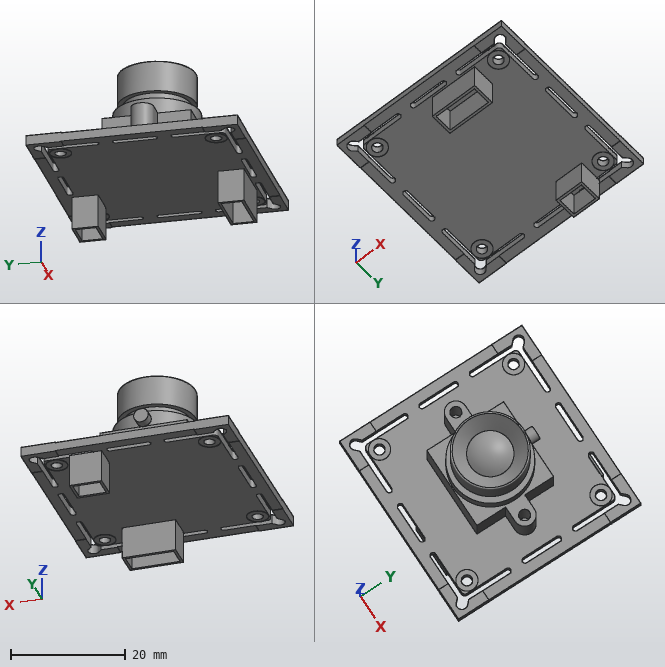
import cadquery as cq
import math

BOARD_SIDE = 38.0
BOARD_THICKNESS = 1.6

PAD_THICKNESS = 0.1
CORNER_PAD_SIDE = 6.3
PAD_RADIUS = 1.95
MOUNT_HOLE_RADIUS = 1.0
MOUNT_OFFSET = 14.0

SLOT_OFFSET = 16.5
SLOT_WIDTH = 1.05
MIDDLE_SLOT_LENGTH = 8.0
CORNER_SLOT_END = 6.5
CORNER_FILLET = 0.8
RELIEF_OFFSET = 17.02
RELIEF_WIDTH = 2.0

BLOCK_SIDE = 16.0
BLOCK_TOP = 7.0
EAR_OFFSET = 11.0
EAR_RADIUS = 2.0
EAR_HOLE_RADIUS = 1.03

COLLAR_RADIUS = 7.8
COLLAR_TOP = 10.07
NECK_RADIUS = 6.05
NECK_TOP = 11.8
HEAD_RADIUS = 7.0
HEAD_TOP = 17.5
HEAD_FILLET = 0.2

MOUTH_RADIUS = 6.65
LENS_RADIUS = 4.15
MOUTH_DEPTH = 2.6
LENS_HEIGHT = 1.6

PIN_RADIUS = 1.33
PIN_HEIGHT = 8.45
PIN_END = 9.5

CONNECTOR_BOTTOM = -7.6
CONNECTOR_WIDTH = 4.7
CONNECTOR_WALL = 0.5
FRONT_CONNECTOR_START = 0.08
FRONT_CONNECTOR_LENGTH = 9.8
FRONT_CONNECTOR_Y = -13.22
BACK_CONNECTOR_START = 4.98
BACK_CONNECTOR_LENGTH = 5.93
BACK_CONNECTOR_Y = 14.17

BOARD_BOTTOM = -BOARD_THICKNESS
CORNERS = [(sx, sy) for sx in (-1, 1) for sy in (-1, 1)]
SLOT_INNER = SLOT_OFFSET - SLOT_WIDTH / 2
SLOT_OUTER = SLOT_OFFSET + SLOT_WIDTH / 2
CORNER_SLOT_TANGENT = CORNER_SLOT_END + SLOT_WIDTH / 2
PAD_BOTTOM = BOARD_BOTTOM - PAD_THICKNESS
PAD_TOP = PAD_THICKNESS
CUT_DEPTH = PAD_TOP - PAD_BOTTOM


def plate(length, width, x, y, bottom, top):
    """Rectangular block centred on (x, y) between two heights."""
    base = cq.Workplane("XY", origin=(x, y, bottom))
    return base.rect(length, width).extrude(top - bottom)


def cylinder(radius, x, y, bottom, top):
    """Upright cylinder at (x, y) between two heights."""
    return cq.Workplane("XY", origin=(x, y, bottom)).circle(radius).extrude(top - bottom)


def board_blank():
    """Square board with raised pads on both faces."""
    board = plate(BOARD_SIDE, BOARD_SIDE, 0, 0, BOARD_BOTTOM, 0)
    inner_side = 2 * SLOT_OFFSET
    pad_center = (BOARD_SIDE - CORNER_PAD_SIDE) / 2
    rim_gap = plate(inner_side, inner_side, 0, 0, PAD_BOTTOM, PAD_TOP)
    for sx, sy in CORNERS:
        x, y = sx * pad_center, sy * pad_center
        corner = plate(CORNER_PAD_SIDE, CORNER_PAD_SIDE, x, y, PAD_BOTTOM, PAD_TOP)
        board = board.union(corner.cut(rim_gap))
        board = board.union(cylinder(PAD_RADIUS, sx * MOUNT_OFFSET, sy * MOUNT_OFFSET, PAD_BOTTOM, PAD_TOP))
    return board


def round_slot(length, width, x, y, angle):
    """Cutter for a round-ended through slot centred on (x, y), turned from the X axis by angle."""
    base = cq.Workplane("XY", origin=(x, y, PAD_BOTTOM))
    return base.slot2D(length, width, angle).extrude(CUT_DEPTH)


def corner_slot(sx, sy):
    """L-shaped slot with a rounded inner elbow and a diagonal relief at its outer elbow."""
    cutter = (
        cq.Workplane("XY", origin=(0, 0, PAD_BOTTOM))
        .moveTo(SLOT_OUTER, SLOT_OUTER)
        .lineTo(SLOT_OUTER, CORNER_SLOT_TANGENT)
        .threePointArc((SLOT_OFFSET, CORNER_SLOT_END), (SLOT_INNER, CORNER_SLOT_TANGENT))
        .lineTo(SLOT_INNER, SLOT_INNER - CORNER_FILLET)
        .radiusArc((SLOT_INNER - CORNER_FILLET, SLOT_INNER), -CORNER_FILLET)
        .lineTo(CORNER_SLOT_TANGENT, SLOT_INNER)
        .threePointArc((CORNER_SLOT_END, SLOT_OFFSET), (CORNER_SLOT_TANGENT, SLOT_OUTER))
        .close()
        .extrude(CUT_DEPTH)
    )
    relief_middle = (RELIEF_OFFSET + SLOT_OFFSET) / 2
    relief_length = (RELIEF_OFFSET - SLOT_OFFSET) * math.sqrt(2) + RELIEF_WIDTH
    cutter = cutter.union(round_slot(relief_length, RELIEF_WIDTH, relief_middle, relief_middle, 45))
    if sx < 0:
        cutter = cutter.mirror("YZ")
    if sy < 0:
        cutter = cutter.mirror("XZ")
    return cutter


def circuit_board():
    """Board with its mounting holes and break-off slots."""
    board = board_blank()
    for sx, sy in CORNERS:
        board = board.cut(corner_slot(sx, sy))
        x, y = sx * MOUNT_OFFSET, sy * MOUNT_OFFSET
        board = board.cut(cylinder(MOUNT_HOLE_RADIUS, x, y, PAD_BOTTOM, PAD_TOP))
    for side in (-SLOT_OFFSET, SLOT_OFFSET):
        board = board.cut(round_slot(MIDDLE_SLOT_LENGTH, SLOT_WIDTH, 0, side, 0))
        board = board.cut(round_slot(MIDDLE_SLOT_LENGTH, SLOT_WIDTH, side, 0, 90))
    return board


def lens_holder():
    """Square block with a drilled screw ear on either side."""
    holder = plate(BLOCK_SIDE, BLOCK_SIDE, 0, 0, 0, BLOCK_TOP)
    ear_span = 2 * (EAR_OFFSET + EAR_RADIUS)
    ears = cq.Workplane("XY").slot2D(ear_span, 2 * EAR_RADIUS).extrude(BLOCK_TOP)
    holder = holder.union(ears)
    for x in (-EAR_OFFSET, EAR_OFFSET):
        holder = holder.cut(cylinder(EAR_HOLE_RADIUS, x, 0, 0, BLOCK_TOP))
    return holder


def lens_barrel():
    """Revolved collar, neck and head, with the conical mouth and the domed lens."""
    mouth_floor = HEAD_TOP - MOUTH_DEPTH
    sphere_radius = (LENS_RADIUS**2 + LENS_HEIGHT**2) / (2 * LENS_HEIGHT)
    profile = (
        cq.Workplane("XZ")
        .moveTo(0, BLOCK_TOP)
        .lineTo(COLLAR_RADIUS, BLOCK_TOP)
        .lineTo(COLLAR_RADIUS, COLLAR_TOP)
        .lineTo(NECK_RADIUS, COLLAR_TOP)
        .lineTo(NECK_RADIUS, NECK_TOP)
        .lineTo(HEAD_RADIUS, NECK_TOP)
        .lineTo(HEAD_RADIUS, HEAD_TOP - HEAD_FILLET)
        .radiusArc((HEAD_RADIUS - HEAD_FILLET, HEAD_TOP), -HEAD_FILLET)
        .lineTo(MOUTH_RADIUS, HEAD_TOP)
        .lineTo(LENS_RADIUS, mouth_floor)
        .radiusArc((0, mouth_floor + LENS_HEIGHT), -sphere_radius)
        .close()
    )
    return profile.revolve(360, (0, 0, 0), (0, 1, 0))


def locking_pin():
    """Round pin pointing along +Y out of the collar."""
    return cq.Workplane("XZ", origin=(0, 0, PIN_HEIGHT)).circle(PIN_RADIUS).extrude(-PIN_END)


def connector(start, length, y):
    """Rectangular housing below the board with a hollow core."""
    x = start + length / 2
    core_length = length - 2 * CONNECTOR_WALL
    core_width = CONNECTOR_WIDTH - 2 * CONNECTOR_WALL
    shell = plate(length, CONNECTOR_WIDTH, x, y, CONNECTOR_BOTTOM, BOARD_BOTTOM)
    core = plate(core_length, core_width, x, y, CONNECTOR_BOTTOM, BOARD_BOTTOM)
    return shell.cut(core)


result = (
    circuit_board()
    .union(lens_holder())
    .union(lens_barrel())
    .union(locking_pin())
    .union(connector(BACK_CONNECTOR_START, BACK_CONNECTOR_LENGTH, BACK_CONNECTOR_Y))
    .union(connector(FRONT_CONNECTOR_START, FRONT_CONNECTOR_LENGTH, FRONT_CONNECTOR_Y))
)